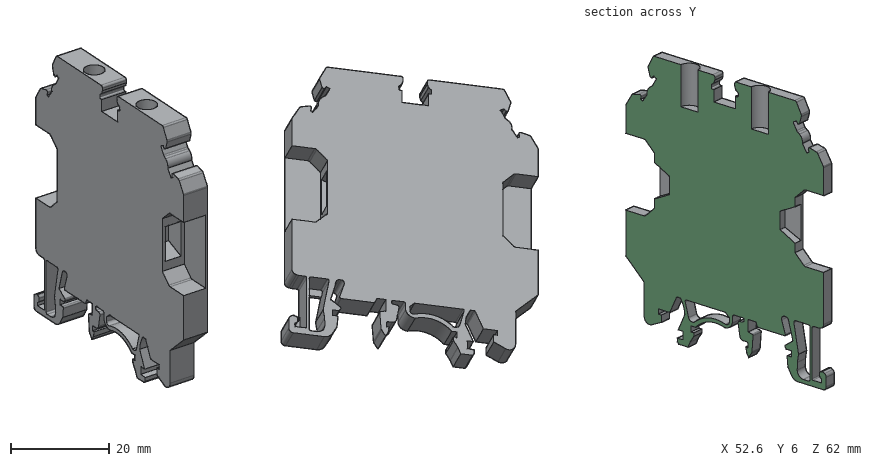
import cadquery as cq
import math

HEIGHT = 62.0
THICKNESS = 6.0
HALF_WIDTH = 26.0
CLIP_TIP_X = -26.65
BACK = THICKNESS / 2

BASE_Z = 10.3
STEP_Z = 9.25
ROOT_OVERLAP = 0.6
LEG_ROOT_Z = 13.3
SLOT_TOP_Z = 13.5
NOTCH_HALF = 2.8
NOTCH_FLOOR_Z = 56.05

LEG_OUTER_X = -22.95
LEG_NECK = (-17.8, 8.75)
LEG_WALL = 0.6
HOOK_FLOOR_Z = 1.5
WINDOW_FLOOR_Z = 1.0
WEB = 0.85
BRIDGE_HEIGHT = 1.55
BRIDGE_LENGTH = 4.65

POCKET_LOW_Z = 26.05
POCKET_HIGH_Z = 42.9
POCKET_DEPTH = 7.5
POCKET_CORNER_X = 2.5
POCKET_CORNER_Z = 2.35
POCKET_ROUND = 0.6
POCKET_BACK_WALL = 0.5
INNER_Y = -0.3
FUNNEL_Z = (POCKET_LOW_Z + POCKET_HIGH_Z) / 2
FUNNEL_MOUTH = (3.9, 8.0)
FUNNEL_END = (3.35, 4.0)
FUNNEL_DEPTH = 3.9

SCREW_DIAMETER = 4.4
SCREW_X = 9.25
SCREW_DEPTH = 9.3


def plate(corners, depth=THICKNESS):
    """Extrude an XZ outline backwards from the front face.

    Each corner is (x, z) when sharp or (x, z, radius) when rounded.
    """
    path = None
    for i, (x, z, *radius) in enumerate(corners):
        if radius:
            before = cq.Vector(*corners[i - 1][:2])
            after = cq.Vector(*corners[(i + 1) % len(corners)][:2])
            tip = cq.Vector(x, z)
            to_before = (before - tip).normalized()
            to_after = (after - tip).normalized()
            half_angle = to_before.getAngle(to_after) / 2
            reach = radius[0] / math.tan(half_angle)
            crown = radius[0] / math.sin(half_angle) - radius[0]
            start = tip + to_before * reach
            middle = tip + (to_before + to_after).normalized() * crown
            end = tip + to_after * reach
        else:
            start = cq.Vector(x, z)
        start_xz = (start.x, start.y)
        if path is None:
            path = cq.Workplane("XZ", origin=(0, depth - BACK, 0)).moveTo(*start_xz)
        else:
            path = path.lineTo(*start_xz)
        if radius:
            path = path.threePointArc((middle.x, middle.y), (end.x, end.y))
    return path.close().extrude(depth)


def mirrored(corners):
    """Reflect corners in the middle plane, reversed so the outline runs on."""
    return [(-x, *rest) for x, *rest in reversed(corners)]


def housing():
    shoulder = [
        (NOTCH_HALF, NOTCH_FLOOR_Z),
        (NOTCH_HALF, 58.8),
        (3.5, 58.8, 0.3),
        (3.5, 59.65, 0.25),
        (NOTCH_HALF, 60.2),
        (2.55, 60.95),
        (2.55, HEIGHT, 0.5),
        (18.7, HEIGHT, 0.5),
        (20.2, 59.15, 0.6),
        (19.65, 57.15),
        (19.15, 56.9),
        (18.7, 57.5),
        (18.0, 57.1),
        (19.05, 55.3, 0.9),
        (20.5, 54.25, 1.85),
        (20.4, 53.0),
        (21.6, 51.3),
        (22.0, 51.5),
        (21.75, 52.7, 0.4),
        (24.3, 52.1, 0.6),
        (HALF_WIDTH, 49.3, 0.5),
    ]
    end_foot = [
        (HALF_WIDTH, 15.8),
        (21.2, 11.35),
        (21.2, 1.4, 1.5),
        (16.55, 3.65),
        (16.55, 5.35),
        (17.35, 5.35),
        (17.35, 6.4),
        (14.4, 6.4),
        (12.6, BASE_Z, 0.25),
    ]
    underside = [
        (-8.05, BASE_Z),
        (-8.55, STEP_Z),
        (-16.05, STEP_Z, 0.3),
        (-14.7, SLOT_TOP_Z, 0.7),
        (-16.5, SLOT_TOP_Z, 0.6),
        LEG_NECK,
        (LEG_OUTER_X, LEG_NECK[1]),
        (LEG_OUTER_X, LEG_ROOT_Z, 0.4),
        (-24.55, LEG_ROOT_Z),
        (-HALF_WIDTH, 13.6, 1.1),
    ]
    return plate(shoulder + end_foot + underside + mirrored(shoulder))


def clip_leg():
    return plate([
        (LEG_OUTER_X, LEG_NECK[1]),
        LEG_NECK,
        (-15.55, 7.05, 0.3),
        (-16.05, 6.4),
        (-17.4, 6.4),
        (-17.4, 5.15),
        (-16.25, 5.15, 0.3),
        (-16.5, 2.6),
        (-18.05, 0, 2.0),
        (CLIP_TIP_X, 0, 0.9),
        (CLIP_TIP_X, 3.55, 0.85),
        (LEG_OUTER_X, 5.7, 1.35),
    ])


def clip_window():
    left = LEG_OUTER_X + LEG_WALL
    return plate([
        (left, LEG_ROOT_Z, 0.3),
        (-18.1, LEG_ROOT_Z, 0.4),
        (-19.4, 6.2),
        (-19.1, 4.35),
        (-19.05, WINDOW_FLOOR_Z, 1.6),
        (left, WINDOW_FLOOR_Z, 0.4),
    ])


def clip_bridge():
    """Thin wall closing the top of the clip window at the back."""
    left = LEG_OUTER_X + LEG_WALL / 2
    return cq.Workplane("XY").box(BRIDGE_LENGTH, WEB, BRIDGE_HEIGHT, centered=False).translate(
        (left, BACK - WEB, LEG_ROOT_Z - BRIDGE_HEIGHT))


def hook_recess():
    """Hollow behind the hook lip, leaving a thin web at the back."""
    return plate([
        (LEG_OUTER_X, 6.8),
        (-25.85, 4.45),
        (-25.55, 3.95),
        (-24.8, 3.85, 0.5),
        (-24.8, 2.65),
        (-25.35, 2.25),
        (-25.35, HOOK_FLOOR_Z),
        (LEG_OUTER_X, HOOK_FLOOR_Z, 0.2),
    ], THICKNESS - WEB)


def centre_peg():
    return plate([
        (-6.2, BASE_Z + ROOT_OVERLAP),
        (-4.35, BASE_Z + ROOT_OVERLAP),
        (-4.35, BASE_Z),
        (-4.95, BASE_Z, 0.3),
        (-4.95, 9.5, 0.3),
        (-3.35, 9.3, 0.5),
        (-4.0, 5.3, 0.9),
        (-6.0, 5.3, 0.25),
        (-6.0, 4.1),
        (-5.45, 4.1),
        (-5.7, 2.85),
        (-6.25, 1.9),
        (-7.2, 3.35, 0.6),
        (-7.5, 7.4, 0.25),
        (-6.2, 7.6),
    ])


def spring_foot():
    arm = (
        cq.Workplane("XZ", origin=(0, BACK, 0))
        .moveTo(-2.4, BASE_Z + ROOT_OVERLAP)
        .lineTo(-2.4, BASE_Z)
        .threePointArc((-2.2, 10.15), (-2.05, 9.9))
        .lineTo(-2.05, 8.5)
        .threePointArc((-1.35, 7.4), (0, 6.9))
        .threePointArc((3.2, 7.2), (7.7, 4.9))
        .lineTo(8.8, 4.9)
        .lineTo(8.8, 3.65)
        .lineTo(8.05, 3.65)
        .lineTo(8.05, 2.85)
        .lineTo(9.0, 1.35)
        .lineTo(9.6, 0)
        .lineTo(12.1, 0)
        .lineTo(12.45, 0.45)
        .lineTo(12.45, 1.3)
        .lineTo(11.0, 1.4)
        .lineTo(11.0, 3.15)
        .lineTo(12.3, 3.15)
        .lineTo(10.55, 7.0)
        .threePointArc((11.0, 9.0), (11.65, BASE_Z))
        .lineTo(11.65, BASE_Z + ROOT_OVERLAP)
        .close()
        .extrude(THICKNESS)
    )
    opening = (
        cq.Workplane("XZ", origin=(0, BACK, 0))
        .moveTo(-0.1, BASE_Z)
        .lineTo(-1.1, 9.4)
        .lineTo(-1.1, 8.4)
        .threePointArc((-0.8, 7.9), (-0.2, 7.75))
        .threePointArc((3.6, 8.1), (8.05, 6.0))
        .threePointArc((8.85, 6.0), (9.4, 6.65))
        .lineTo(10.3, 9.85)
        .threePointArc((10.3, 10.15), (10.0, BASE_Z))
        .close()
        .extrude(THICKNESS)
    )
    return arm.cut(opening)


def side_pocket():
    """Left pocket, open to the front and the side, with a funnel in its floor."""
    floor_x = POCKET_DEPTH - HALF_WIDTH
    corner_x = floor_x - POCKET_CORNER_X
    pocket = plate([
        (-HALF_WIDTH, POCKET_LOW_Z),
        (corner_x, POCKET_LOW_Z, POCKET_ROUND),
        (floor_x, POCKET_LOW_Z + POCKET_CORNER_Z),
        (floor_x, POCKET_HIGH_Z - POCKET_CORNER_Z),
        (corner_x, POCKET_HIGH_Z, POCKET_ROUND),
        (-HALF_WIDTH, POCKET_HIGH_Z),
    ], THICKNESS - POCKET_BACK_WALL)
    funnel = (
        cq.Workplane("YZ", origin=(floor_x, INNER_Y, FUNNEL_Z))
        .rect(*FUNNEL_MOUTH)
        .workplane(offset=FUNNEL_DEPTH)
        .rect(*FUNNEL_END)
        .loft(ruled=True)
    )
    return pocket.union(funnel)


def screw_holes():
    return (
        cq.Workplane("XY", origin=(0, INNER_Y, HEIGHT - SCREW_DEPTH))
        .pushPoints([(-SCREW_X, 0), (SCREW_X, 0)])
        .circle(SCREW_DIAMETER / 2)
        .extrude(SCREW_DEPTH)
    )


result = housing().union(clip_leg()).cut(clip_window()).union(clip_bridge()).cut(hook_recess())
result = result.union(centre_peg()).union(spring_foot())
left_pocket = side_pocket()
result = result.cut(left_pocket).cut(left_pocket.mirror("YZ")).cut(screw_holes())